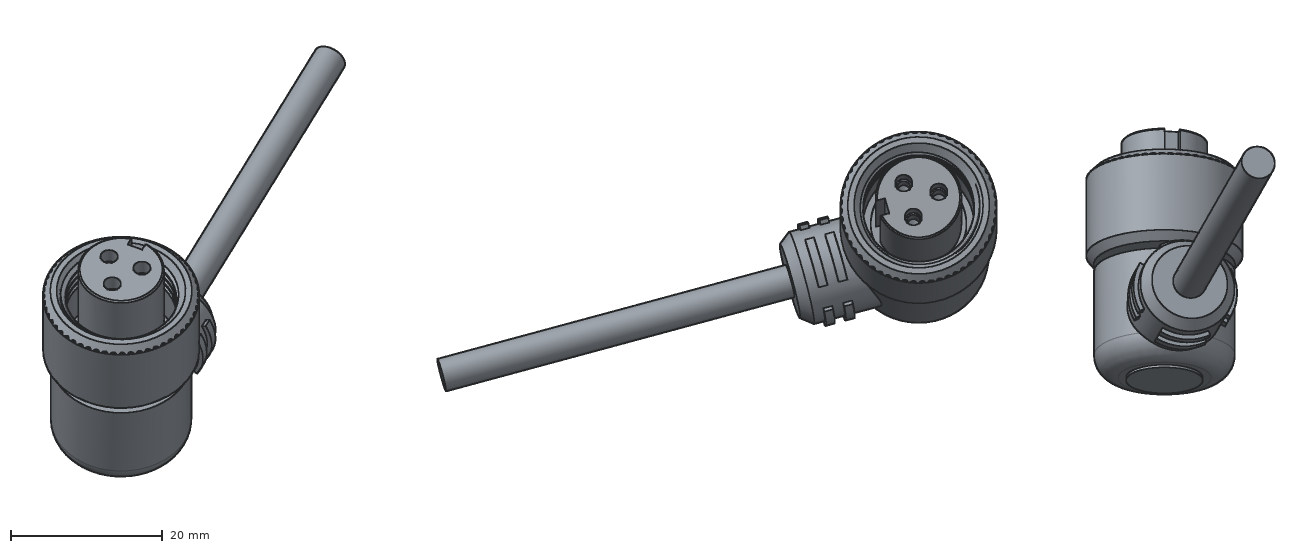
import cadquery as cq
import math


total_height = 33.3
body_bottom = 0.4
body_top = 15.2
nut_bottom = 16.2
nut_top = 29.0

body_dia = 18.6
body_bottom_fillet = 3.2
base_disc_dia = 10.1
neck_dia = 12.6

cable_axis_z = 7.55
sleeve_dia = 12.6
sleeve_end_dia = 10.1
sleeve_chamfer_length = 1.6
sleeve_end_y = 17.6
rib_dia = 13.9
rib_width = 1.2
rib_angle = 58
rib_count = 4
rib_end_distances = (3.6, 6.35)

cable_dia = 4.45
total_length = 75.55

nut_dia = 20.6
nut_face_dia = 18.7
nut_top_chamfer_height = 1.0
nut_bottom_chamfer_height = 1.2
nut_shoulder_z = nut_top - nut_top_chamfer_height
nut_bore_dia = 14.65
nut_mouth_dia = 17.0
nut_mouth_depth = (nut_mouth_dia - nut_bore_dia) / 2
nut_floor_z = 18.75
notch_count = 56
notch_dia = 1.05
notch_depth = 0.2

thread_pitch = 1.1
thread_depth = 0.75
thread_flank_width = 1.0
thread_end_z = 24.3
thread_overlap = 0.1

neck_step_z = 19.65
plug_dia = 11.3
plug_chamfer = 0.2
key_width = 2.1
key_floor_y = 4.3
contact_count = 3
contact_circle_dia = 5.5
contact_first_angle = 30
contact_dia = 2.3
contact_depth = 2.3
socket_dia = 1.75
socket_depth = 4.5
socket_tip_angle = 118


def cylinder_z(dia, bottom, top):
    return cq.Workplane("XY").workplane(offset=bottom).circle(dia / 2).extrude(top - bottom)


def cylinder_y(dia, start, end):
    """Cylinder on the cable axis between two Y positions."""
    plane = cq.Plane(origin=(0, start, cable_axis_z), xDir=(-1, 0, 0), normal=(0, 1, 0))
    return cq.Workplane(plane).circle(dia / 2).extrude(end - start)


def revolve_z(points):
    """Revolve a closed (radius, z) outline about Z."""
    return cq.Workplane("XZ").polyline(points).close().revolve(360, (0, 0), (0, 1))


def make_body():
    body = cylinder_z(body_dia, body_bottom, body_top).faces("<Z").edges().fillet(body_bottom_fillet)
    return body.union(cylinder_z(base_disc_dia, 0, body_top))


def make_rib(y_centre, angle):
    """Arc-shaped rib on the sleeve, centred on the given angle around the cable axis."""
    half_angle = math.radians(rib_angle / 2)
    reach = rib_dia
    side = reach * math.tan(half_angle)
    plane = cq.Plane(
        origin=(0, y_centre - rib_width / 2, cable_axis_z), xDir=(-1, 0, 0), normal=(0, 1, 0)
    )
    sector = (
        cq.Workplane(plane)
        .transformed(rotate=(0, 0, angle))
        .polyline([(0, 0), (reach, -side), (reach, side)])
        .close()
        .extrude(rib_width)
    )
    return sector.intersect(cylinder_y(rib_dia, 0, sleeve_end_y))


def make_sleeve():
    sleeve = cylinder_y(sleeve_dia, 0, sleeve_end_y)
    chamfer_width = (sleeve_dia - sleeve_end_dia) / 2
    sleeve = sleeve.faces(">Y").chamfer(sleeve_chamfer_length, chamfer_width)
    for distance in rib_end_distances:
        for index in range(rib_count):
            sleeve = sleeve.union(make_rib(sleeve_end_y - distance, index * 360 / rib_count))
    return sleeve


def make_cable():
    return cylinder_y(cable_dia, 0, total_length - nut_dia / 2)


def make_thread_cutter():
    """V-shaped cutter swept along a helix from the thread end up to the nut face."""
    start_radius = nut_bore_dia / 2 - thread_overlap
    height = nut_top - thread_end_z
    helix = cq.Wire.makeHelix(thread_pitch, height, start_radius, cq.Vector(0, 0, thread_end_z))
    half_width = thread_flank_width / 2
    profile = (
        cq.Workplane("XZ")
        .polyline(
            [
                (start_radius, thread_end_z - half_width),
                (start_radius + thread_overlap + thread_depth, thread_end_z),
                (start_radius, thread_end_z + half_width),
            ]
        )
        .close()
    )
    return profile.sweep(cq.Workplane(obj=helix), isFrenet=True)


def make_nut():
    outer = nut_dia / 2
    face = nut_face_dia / 2
    bore = nut_bore_dia / 2
    return revolve_z(
        [
            (0, nut_bottom),
            (face, nut_bottom),
            (outer, nut_bottom + nut_bottom_chamfer_height),
            (outer, nut_shoulder_z),
            (face, nut_top),
            (nut_mouth_dia / 2, nut_top),
            (bore, nut_top - nut_mouth_depth),
            (bore, nut_floor_z),
            (0, nut_floor_z),
        ]
    )


def make_notch_cutters():
    """Small scallops around the rim where the nut meets its top chamfer."""
    return (
        cq.Workplane("XY")
        .workplane(offset=nut_shoulder_z)
        .polarArray((nut_dia + notch_dia) / 2 - notch_depth, 0, 360, notch_count)
        .circle(notch_dia / 2)
        .extrude(nut_top_chamfer_height)
    )


def make_contact_hole():
    """Stepped contact hole with a conical tip, opening at the top of the insert."""
    contact_floor = total_height - contact_depth
    socket_floor = total_height - socket_depth
    tip_height = socket_dia / 2 / math.tan(math.radians(socket_tip_angle / 2))
    return revolve_z(
        [
            (0, total_height),
            (contact_dia / 2, total_height),
            (contact_dia / 2, contact_floor),
            (socket_dia / 2, contact_floor),
            (socket_dia / 2, socket_floor),
            (0, socket_floor - tip_height),
        ]
    )


def make_insert():
    """Neck through the nut and the keyed plug with its contact holes."""
    neck = cylinder_z(neck_dia, body_top, neck_step_z)
    plug = cylinder_z(plug_dia, neck_step_z, total_height).faces(">Z").chamfer(plug_chamfer)
    keyway = cq.Workplane("XY").box(
        key_width, plug_dia, total_height - neck_step_z, centered=(True, False, False)
    )
    plug = plug.cut(keyway.translate((0, key_floor_y, neck_step_z)))
    for index in range(contact_count):
        angle = math.radians(contact_first_angle + index * 360 / contact_count)
        x = contact_circle_dia / 2 * math.cos(angle)
        y = contact_circle_dia / 2 * math.sin(angle)
        plug = plug.cut(make_contact_hole().translate((x, y, 0)))
    return neck.union(plug)


connector = make_body().union(make_sleeve()).union(make_cable()).union(make_insert()).union(make_nut())
connector = connector.cut(make_thread_cutter(), clean=False).cut(make_notch_cutters(), clean=False)
result = connector.solids()